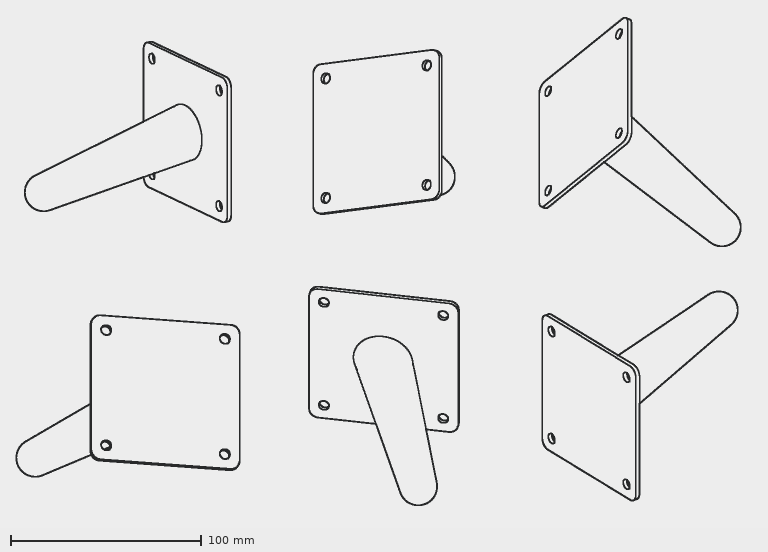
import cadquery as cq
import math

plate_side = 80.0
plate_thickness = 2.5
corner_radius = 5.0
hole_spacing = 64.0
hole_diameter = 5.5

total_depth = 130.0
lean_angle = 20.0
base_radius = 15.0
tip_radius = 10.0

lean = math.radians(lean_angle)
tip_reach = total_depth - plate_thickness - tip_radius
leg_length = tip_reach / math.cos(lean)
taper = (base_radius - tip_radius) / leg_length

root_extension = base_radius
root_radius = base_radius + taper * root_extension


def make_plate():
    plate = cq.Workplane("XZ").rect(plate_side, plate_side).extrude(plate_thickness)
    plate = plate.edges("|Y").fillet(corner_radius)
    holes = (
        cq.Workplane("XZ")
        .rect(hole_spacing, hole_spacing, forConstruction=True)
        .vertices()
        .circle(hole_diameter / 2)
        .extrude(plate_thickness)
    )
    return plate.cut(holes)


def make_leg():
    arc_offset = tip_radius * math.sqrt(0.5)
    leg = (
        cq.Workplane("XY")
        .moveTo(0, root_extension)
        .lineTo(root_radius, root_extension)
        .lineTo(tip_radius, -leg_length)
        .threePointArc(
            (arc_offset, -leg_length - arc_offset),
            (0, -leg_length - tip_radius),
        )
        .close()
        .revolve(360, (0, 0, 0), (0, 1, 0))
        .rotate((0, 0, 0), (0, 0, 1), lean_angle)
        .translate((0, -plate_thickness, 0))
    )
    front_space = cq.Workplane("XZ").rect(2 * total_depth, 2 * total_depth).extrude(2 * total_depth)
    return leg.intersect(front_space)


result = make_plate().union(make_leg())